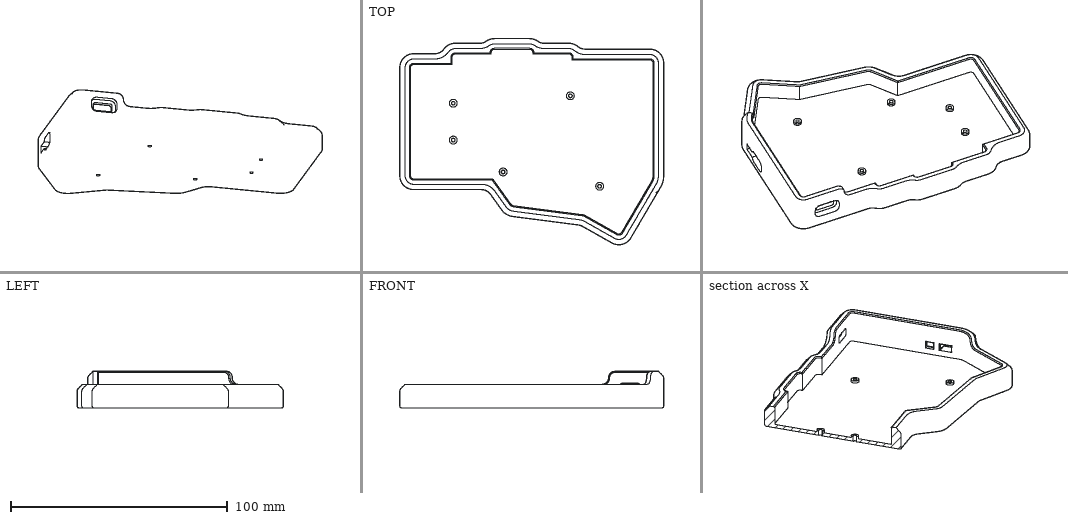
import cadquery as cq
import math

low_rim_height = 11.0
high_rim_height = 17.0
floor_thickness = 2.0

wall = 5.0
concave_radius = 5.0
pocket_corner_radius = 1.5
rim_chamfer = 2.5
rim_blend_radius = 2.0
inner_chamfer = 0.5
base_fillet = 1.0

pocket_right = 111.8
column_edges = [19.15, 37.2, 56.4, 74.5]
back_edges = [0.0, 4.8, 6.95, 4.8, 2.1]
front_edge = -52.8
pocket_tip = (96.6, -78.75)
pocket_side_corner = (pocket_right, front_edge)
pocket_thumb_corner = (46.7, -65.1)
pocket_front = [
    pocket_side_corner,
    pocket_tip,
    (80.0, -69.4),
    pocket_thumb_corner,
    (37.9, front_edge),
    (0.0, front_edge),
]
wider_corner_radii = {pocket_side_corner: 5.0, pocket_thumb_corner: 2.5}

step_rise = high_rim_height - low_rim_height
step_radius = step_rise / 2
back_step_x = 91.3
side_step_distance = 6.5

boss_diameter = 3.6
boss_hole_diameter = 1.6
boss_height = 1.0
boss_centers = [(19.7, -17.9), (19.7, -34.9), (42.7, -49.6), (87.2, -56.2), (73.7, -14.5)]

usb_x = pocket_right - 10.6
usb_z = 9.5
usb_size = (9.0, 3.8)
usb_corner_radius = 1.0
usb_web = 2.2
usb_recess_margin = 1.6
usb_recess_size = tuple(side + 2 * usb_recess_margin for side in usb_size)

side_port_z = 6.5
side_port_height = 3.3
switch_y = -36.8
switch_size = (3.9, side_port_height)
switch_web = 1.6
switch_recess_size = (10.6, 6.3)
switch_recess_corner_radius = 2.5
jack_y = -44.6
jack_size = (6.1, side_port_height)

cut_margin = 20.0
cut_reach = 200.0
tolerance = 1e-3


def pocket_outline():
    """Pocket corner points, clockwise from the rear left corner."""
    points = []
    starts = [0.0] + column_edges
    ends = column_edges + [pocket_right]
    for start, end, back in zip(starts, ends, back_edges):
        points += [(start, back), (end, back)]
    return points + pocket_front


def is_convex(before, corner, after):
    """True where a clockwise outline turns right, so the pocket corner is rounded."""
    turn = (corner[0] - before[0]) * (after[1] - corner[1])
    turn -= (corner[1] - before[1]) * (after[0] - corner[0])
    return turn < 0


def make_pocket():
    """Pocket prism from Z = 0 with only its convex corners rounded."""
    points = pocket_outline()
    pocket = cq.Workplane("XY").polyline(points).close().extrude(high_rim_height + cut_margin)
    count = len(points)
    for i, corner in enumerate(points):
        if is_convex(points[i - 1], corner, points[(i + 1) % count]):
            radius = wider_corner_radii.get(corner, pocket_corner_radius)
            edge = cq.selectors.NearestToPointSelector((*corner, high_rim_height))
            pocket = pocket.edges("|Z").edges(edge).fillet(radius)
    return pocket


def make_step_cutter(origin, toward_low):
    """Removes everything above the low rim on one side of a plane, ending in an S-curve."""
    plane = cq.Plane(
        origin=(*origin, low_rim_height),
        xDir=(*toward_low, 0),
        normal=(toward_low[1], -toward_low[0], 0),
    )
    bend = step_radius * math.sqrt(0.5)
    return (
        cq.Workplane(plane)
        .moveTo(step_radius, 0)
        .threePointArc((step_radius - bend, step_radius - bend), (0, step_radius))
        .threePointArc((bend - step_radius, step_radius + bend), (-step_radius, step_rise))
        .lineTo(-step_radius, step_rise + cut_margin)
        .lineTo(cut_reach, step_rise + cut_margin)
        .lineTo(cut_reach, 0)
        .close()
        .extrude(cut_reach, both=True)
    )


def boundary_edges(faces):
    """Edges that belong to exactly one of the given faces."""
    edges = [edge for face in faces for edge in face.Edges()]
    return [edge for edge in edges if sum(edge.isSame(other) for other in edges) == 1]


def upper_boundary(body, faces, height):
    """Boundary edges of the given faces lying above a height, as a selection on the body."""
    edges = [edge for edge in boundary_edges(faces) if edge.Center().z > height + tolerance]
    return body.newObject(edges)


def walls_rising_from(body, height):
    """Faces whose foot is at the given height and that rise above the base fillet."""
    boxes = [(face, face.BoundingBox()) for face in body.faces().vals()]
    return [
        face
        for face, box in boxes
        if abs(box.zmin - height) < tolerance and box.zmax > height + base_fillet
    ]


def make_shell(pocket):
    """Outer body with stepped rim, rounded rim edge and base, hollowed by the pocket."""
    pocket_wire = pocket.faces("<Z").wires()
    oversize = pocket_wire.toPending().offset2D(wall + concave_radius)
    outline = cq.Workplane("XY").add(oversize.wires().vals()).toPending().offset2D(-concave_radius)
    body = outline.extrude(high_rim_height)

    slant_length = math.dist(pocket_tip, pocket_side_corner)
    slant = (
        (pocket_tip[0] - pocket_right) / slant_length,
        (pocket_tip[1] - front_edge) / slant_length,
    )
    side_step = (
        pocket_right + slant[0] * side_step_distance,
        front_edge + slant[1] * side_step_distance,
    )
    body = body.cut(make_step_cutter((back_step_x, 0), (-1, 0)))
    body = body.cut(make_step_cutter(side_step, slant))

    body = upper_boundary(body, walls_rising_from(body, 0), 0).chamfer(rim_chamfer)
    body = upper_boundary(body, walls_rising_from(body, 0), 0).fillet(rim_blend_radius)
    body = body.faces("<Z").edges().fillet(base_fillet)

    body = body.cut(pocket.translate((0, 0, floor_thickness)))
    inner_walls = walls_rising_from(body, floor_thickness)
    return upper_boundary(body, inner_walls, floor_thickness).chamfer(inner_chamfer)


def add_bosses(body):
    """Low screw bosses on the pocket floor, drilled through the underside."""
    bosses = (
        cq.Workplane("XY")
        .workplane(offset=floor_thickness)
        .pushPoints(boss_centers)
        .circle(boss_diameter / 2)
        .extrude(boss_height)
    )
    holes = (
        cq.Workplane("XY")
        .pushPoints(boss_centers)
        .circle(boss_hole_diameter / 2)
        .extrude(floor_thickness + boss_height)
    )
    return body.union(bosses).cut(holes)


def make_opening(plane, size, corner_radius, start):
    """Rounded prism running outward from a distance beyond the plane, through the wall."""
    prism = cq.Workplane(plane).workplane(offset=start).rect(*size).extrude(wall)
    if corner_radius > 0:
        prism = prism.edges(cq.selectors.ParallelDirSelector(plane.zDir)).fillet(corner_radius)
    return prism


def cut_usb_port(body):
    """USB window in the raised back wall with a recess for the plug body."""
    plane = cq.Plane(origin=(usb_x, back_edges[-1], usb_z), xDir=(1, 0, 0), normal=(0, 1, 0))
    body = body.cut(make_opening(plane, usb_size, usb_corner_radius, 0))
    return body.cut(make_opening(plane, usb_recess_size, usb_corner_radius + usb_recess_margin, usb_web))


def side_port_plane(y):
    """Plane on the inner face of the right wall, centred on a port and facing outward."""
    return cq.Plane(origin=(pocket_right, y, side_port_z), xDir=(0, 1, 0), normal=(1, 0, 0))


def cut_side_ports(body):
    """Switch window with a wide outer recess, and a plain jack window, in the right wall."""
    for port_y, size in ((switch_y, switch_size), (jack_y, jack_size)):
        body = body.cut(make_opening(side_port_plane(port_y), size, 0, 0))
    recess = make_opening(
        side_port_plane(switch_y), switch_recess_size, switch_recess_corner_radius, switch_web
    )
    return body.cut(recess)



result = make_shell(make_pocket())
result = add_bosses(result)
result = cut_usb_port(result)
result = cut_side_ports(result)